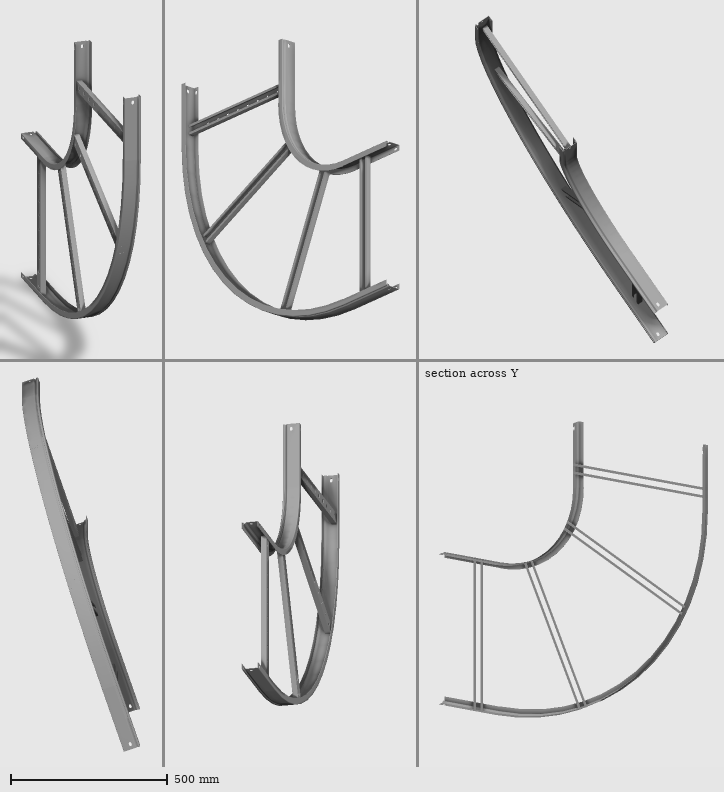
import cadquery as cq
import math


OVERALL = 1017.0
TRAY_DEPTH = 55.0
INNER_RADIUS = 300.0
TRAY_WIDTH = 500.0
OUTER_RADIUS = INNER_RADIUS + TRAY_WIDTH
MIDDLE_RADIUS = INNER_RADIUS + TRAY_WIDTH / 2
LEG_LENGTH = OVERALL - OUTER_RADIUS
BEND_ANGLE = 90.0
AXIS_START = (0, 0, 0)
AXIS_END = (0, 1, 0)

SHEET = 1.5
LEG_FLANGE = 19.0
BEND_FLANGE = 20.0
CORNER_OUTSIDE = 2.0
CORNER_INSIDE = CORNER_OUTSIDE - SHEET
GROOVE_DEPTH = 5.0
GROOVE_START = 41.0
GROOVE_BOTTOM = 46.0
GROOVE_END = 49.0
GROOVE_ROUNDING = 1.0

SLOT_LENGTH = 13.0
SLOT_WIDTH = 8.0
SLOT_END_DISTANCE = 17.0
CUT_REACH = 2 * SHEET

RUNG_WIDTH = 35.0
RUNG_FRONT = 8.0
RUNG_REAR = 25.0
RUNG_LIP = 8.0
RUNG_END_DISTANCE = 151.0
RUNG_LEG_OFFSET = LEG_LENGTH - RUNG_END_DISTANCE
RUNG_BEND_ANGLE = 25.0
HOLE_COUNT = 10
HOLE_SPAN = 443.0
HOLE_PITCH = HOLE_SPAN / (HOLE_COUNT - 1)
HOLE_ALONG = 8.0
HOLE_ACROSS = 11.0


def mitred_offset(path, distance):
    """Points of an open path shifted to its left by distance, with mitred corners."""
    normals = []
    for (x0, y0), (x1, y1) in zip(path, path[1:]):
        length = math.hypot(x1 - x0, y1 - y0)
        normals.append(((y0 - y1) / length, (x1 - x0) / length))
    before = normals[:1] + normals
    after = normals + normals[-1:]
    shifted = []
    for (x, y), (ax, ay), (bx, by) in zip(path, before, after):
        scale = distance / (1 + ax * bx + ay * by)
        shifted.append((x + scale * (ax + bx), y + scale * (ay + by)))
    return shifted


def rail_section(web_radius, opening, flange):
    """Rail sheet section; opening is +1 if the channel opens away from the bend centre, else -1."""
    outside = [
        (web_radius + opening * depth, y)
        for depth, y in (
            (flange, 0),
            (0, 0),
            (0, GROOVE_START),
            (GROOVE_DEPTH, GROOVE_BOTTOM),
            (GROOVE_DEPTH, GROOVE_END),
            (0, GROOVE_END),
            (0, TRAY_DEPTH),
            (flange, TRAY_DEPTH),
        )
    ]
    inside = mitred_offset(outside, -opening * SHEET)
    outline = outside + inside[::-1]
    section = cq.Sketch().polygon(outline + outline[:1])

    for points, corner_radius in ((outside, CORNER_OUTSIDE), (inside, CORNER_INSIDE)):
        front_corner, *groove, rear_corner = points[1:-1]
        roundings = [(front_corner, corner_radius), (rear_corner, corner_radius)]
        roundings += [(point, GROOVE_ROUNDING) for point in groove]
        for (x, y), radius in roundings:
            nearest = cq.selectors.NearestToPointSelector((x, y, 0))
            section = section.vertices(nearest).fillet(radius).reset()
    return section


def end_slots(web_radius, opening):
    """Cutters for the web slot and the front-flange slot of the leg along +Z."""
    z = LEG_LENGTH - SLOT_END_DISTANCE
    flange_middle = web_radius + opening * LEG_FLANGE / 2
    placings = (
        ("YZ", (web_radius, TRAY_DEPTH / 2, z)),
        ("XZ", (flange_middle, 0, z)),
    )
    cutters = [
        cq.Workplane(plane, origin=centre)
        .slot2D(SLOT_LENGTH, SLOT_WIDTH, 90)
        .extrude(CUT_REACH, both=True)
        for plane, centre in placings
    ]
    return cutters[0].union(cutters[1])


def make_rail(web_radius, opening):
    """Quarter bend with a straight leg at each end."""
    bend_section = rail_section(web_radius, opening, BEND_FLANGE)
    bend = cq.Workplane("XY").placeSketch(bend_section).revolve(BEND_ANGLE, AXIS_START, AXIS_END)

    leg_section = rail_section(web_radius, opening, LEG_FLANGE)
    upper_leg = cq.Workplane("XY").placeSketch(leg_section).extrude(LEG_LENGTH)
    upper_leg = upper_leg.cut(end_slots(web_radius, opening))
    left_leg = upper_leg.mirror("XY").rotate(AXIS_START, AXIS_END, BEND_ANGLE)
    return bend.union(upper_leg).union(left_leg)


def make_rung():
    """Perforated rung along +X from the bend centre, its ends reaching through both rail webs."""
    half = RUNG_WIDTH / 2
    outside = [
        (RUNG_REAR, half - RUNG_LIP),
        (RUNG_REAR, half),
        (RUNG_FRONT, half),
        (RUNG_FRONT, -half),
        (RUNG_REAR, -half),
        (RUNG_REAR, -half + RUNG_LIP),
    ]
    outline = outside + mitred_offset(outside, SHEET)[::-1]
    end_radius = math.sqrt(OUTER_RADIUS**2 - half**2)
    channel = (
        cq.Workplane("YZ", origin=(INNER_RADIUS, 0, 0))
        .polyline(outline)
        .close()
        .extrude(end_radius - INNER_RADIUS)
    )
    holes = (
        cq.Workplane("XZ", origin=(MIDDLE_RADIUS, RUNG_FRONT, 0))
        .rarray(HOLE_PITCH, 10, HOLE_COUNT, 1)
        .rect(HOLE_ALONG, HOLE_ACROSS)
        .extrude(CUT_REACH, both=True)
    )
    return channel.cut(holes)


rung_placings = (
    (RUNG_LEG_OFFSET, 0),
    (0, RUNG_BEND_ANGLE),
    (0, BEND_ANGLE - RUNG_BEND_ANGLE),
    (-RUNG_LEG_OFFSET, BEND_ANGLE),
)
rungs = [
    make_rung().translate((0, 0, shift)).rotate(AXIS_START, AXIS_END, angle)
    for shift, angle in rung_placings
]

inner_rail = make_rail(INNER_RADIUS, 1)
outer_rail = make_rail(OUTER_RADIUS, -1)
for rung in rungs:
    inner_rail = inner_rail.cut(rung)
    outer_rail = outer_rail.cut(rung)

result = cq.Compound.makeCompound(
    [inner_rail.val(), outer_rail.val(), *[rung.val() for rung in rungs]]
)